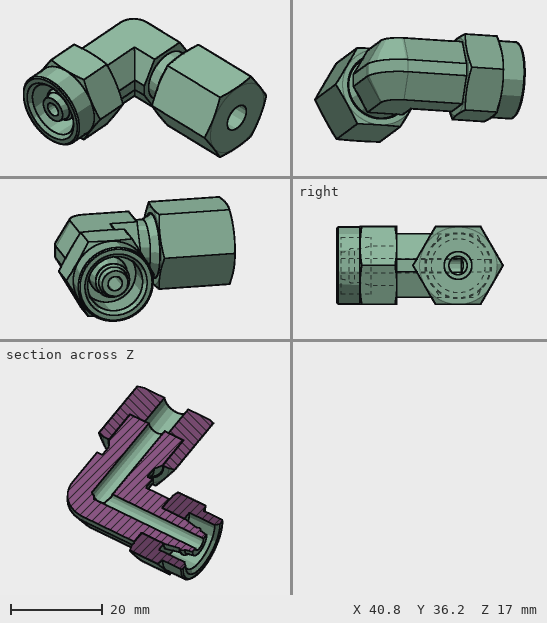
import cadquery as cq
import math


LENGTH_X = 40.8
LENGTH_Y = 36.25

HEX_FLATS = 17.0
HEX_CORNER_RADIUS = HEX_FLATS / 2 / math.cos(math.radians(30))
HEX_FACE_RADIUS = 8.45
HEX_CHAMFER_LENGTH = 0.4

TUBE_NUT_START = 14.4
TUBE_NUT_END = LENGTH_X - HEX_CORNER_RADIUS
SWIVEL_NUT_START = 13.35
SWIVEL_HEX_END = 21.4
SWIVEL_NUT_END = LENGTH_Y - HEX_CORNER_RADIUS

BAR_HALF_HEIGHT = 6.95
BAR_HALF_WIDTH = 7.22
BAR_TOP_HALF_WIDTH = BAR_HALF_HEIGHT * math.tan(math.radians(30))
BAR_SIDE_HALF_HEIGHT = (2 * BAR_TOP_HALF_WIDTH - BAR_HALF_WIDTH) * math.tan(math.radians(60))
TUBE_ARM_END = 10.05

NECK_RADIUS = 5.88
NECK_END = 12.6
THREAD_RADIUS = 6.98
STUD_CONE_END = NECK_END + (THREAD_RADIUS - NECK_RADIUS) / math.tan(math.radians(30))
STUD_END = 23.0

NIPPLE_TIP_RADIUS = 2.9
NIPPLE_BASE_RADIUS = 4.3
NIPPLE_END = 25.6
NIPPLE_HALF_ANGLE = math.radians(12)
NIPPLE_BASE = NIPPLE_END - (NIPPLE_BASE_RADIUS - NIPPLE_TIP_RADIUS) / math.tan(NIPPLE_HALF_ANGLE)
BEAD_OUTER_RADIUS = 3.8
BEAD_SECTION_RADIUS = 0.75
BEAD_CENTER = 23.15

TUBE_ARM_BORE_RADIUS = 2.0
SWIVEL_ARM_BORE_RADIUS = 1.6
TUBE_ARM_BORE_OVERRUN = 0.3
SWIVEL_ARM_BORE_OVERRUN = 0.7
DRILL_HALF_ANGLE = math.radians(59)

TUBE_NUT_MOUTH_RADIUS = 7.2
TUBE_HOLE_RADIUS = 3.0

COLLAR_RADIUS = 8.4
COLLAR_CHAMFER = 0.33
SOCKET_RADIUS = 6.15
SOCKET_MOUTH_RADIUS = 6.98


def turned(points):
    """Solid of revolution about the X axis from (distance along X, radius) points."""
    return cq.Workplane("XY").polyline(points).close().revolve(360, (0, 0, 0), (1, 0, 0))


def onto_swivel_arm(shape):
    """Turn a shape made along +X so that it lies along -Y."""
    return shape.rotate((0, 0, 0), (0, 0, 1), -90)


def hex_bar(start, end):
    """Hexagonal bar along X, flats up and down, with conical chamfers on both ends."""
    bar = (
        cq.Workplane("YZ")
        .workplane(offset=start)
        .polygon(6, 2 * HEX_CORNER_RADIUS)
        .extrude(end - start)
    )
    envelope = turned(
        [
            (start, 0),
            (start, HEX_FACE_RADIUS),
            (start + HEX_CHAMFER_LENGTH, HEX_CORNER_RADIUS),
            (end - HEX_CHAMFER_LENGTH, HEX_CORNER_RADIUS),
            (end, HEX_FACE_RADIUS),
            (end, 0),
        ]
    )
    return bar.intersect(envelope)


def elbow_arm(end):
    """Arm of the forged elbow along +X, starting at the origin."""
    section = [
        (BAR_HALF_WIDTH, BAR_SIDE_HALF_HEIGHT),
        (BAR_TOP_HALF_WIDTH, BAR_HALF_HEIGHT),
        (-BAR_TOP_HALF_WIDTH, BAR_HALF_HEIGHT),
        (-BAR_HALF_WIDTH, BAR_SIDE_HALF_HEIGHT),
        (-BAR_HALF_WIDTH, -BAR_SIDE_HALF_HEIGHT),
        (-BAR_TOP_HALF_WIDTH, -BAR_HALF_HEIGHT),
        (BAR_TOP_HALF_WIDTH, -BAR_HALF_HEIGHT),
        (BAR_HALF_WIDTH, -BAR_SIDE_HALF_HEIGHT),
    ]
    return cq.Workplane("YZ").polyline(section).close().extrude(end)


def elbow_heel():
    """Round outer corner: the bar's half section turned about the Z axis."""
    half_section = [
        (0, BAR_HALF_HEIGHT),
        (BAR_TOP_HALF_WIDTH, BAR_HALF_HEIGHT),
        (BAR_HALF_WIDTH, BAR_SIDE_HALF_HEIGHT),
        (BAR_HALF_WIDTH, -BAR_SIDE_HALF_HEIGHT),
        (BAR_TOP_HALF_WIDTH, -BAR_HALF_HEIGHT),
        (0, -BAR_HALF_HEIGHT),
    ]
    return cq.Workplane("XZ").polyline(half_section).close().revolve(360, (0, 0, 0), (0, 1, 0))


def stud():
    """Neck, lead-in cone and thread cylinder on the tube arm."""
    return turned(
        [
            (0, 0),
            (0, NECK_RADIUS),
            (NECK_END, NECK_RADIUS),
            (STUD_CONE_END, THREAD_RADIUS),
            (STUD_END, THREAD_RADIUS),
            (STUD_END, 0),
        ]
    )


def nipple():
    """Shank, sealing cone and ring bead."""
    cone = turned(
        [
            (0, 0),
            (0, NIPPLE_BASE_RADIUS),
            (NIPPLE_BASE, NIPPLE_BASE_RADIUS),
            (NIPPLE_END, NIPPLE_TIP_RADIUS),
            (NIPPLE_END, 0),
        ]
    )
    bead = (
        cq.Workplane("XY")
        .moveTo(BEAD_CENTER, BEAD_OUTER_RADIUS - BEAD_SECTION_RADIUS)
        .circle(BEAD_SECTION_RADIUS)
        .revolve(360, (0, 0, 0), (1, 0, 0))
    )
    return cone.union(bead)


def bore(end, radius, overrun):
    """Cutter for a flow bore along X, from a drill point near the origin out to the arm's end."""
    point_length = radius / math.tan(DRILL_HALF_ANGLE)
    return turned(
        [
            (-overrun - point_length, 0),
            (-overrun, radius),
            (end, radius),
            (end, 0),
        ]
    )


def make_elbow():
    arms = elbow_arm(TUBE_ARM_END).union(onto_swivel_arm(elbow_arm(SWIVEL_NUT_START)))
    solid = arms.union(elbow_heel()).union(stud()).union(onto_swivel_arm(nipple()))
    tube_arm_bore = bore(STUD_END, TUBE_ARM_BORE_RADIUS, TUBE_ARM_BORE_OVERRUN)
    swivel_arm_bore = onto_swivel_arm(bore(NIPPLE_END, SWIVEL_ARM_BORE_RADIUS, SWIVEL_ARM_BORE_OVERRUN))
    return solid.cut(tube_arm_bore).cut(swivel_arm_bore)


def make_tube_nut():
    """Nut on the +X arm: holds the stud and lets the tube out at its far end."""
    mouth_depth = TUBE_NUT_MOUTH_RADIUS - THREAD_RADIUS
    opening = turned(
        [
            (TUBE_NUT_START, 0),
            (TUBE_NUT_START, TUBE_NUT_MOUTH_RADIUS),
            (TUBE_NUT_START + mouth_depth, THREAD_RADIUS),
            (STUD_END, THREAD_RADIUS),
            (STUD_END, TUBE_HOLE_RADIUS),
            (TUBE_NUT_END, TUBE_HOLE_RADIUS),
            (TUBE_NUT_END, 0),
        ]
    )
    return hex_bar(TUBE_NUT_START, TUBE_NUT_END).cut(opening)


def make_swivel_nut():
    """Nut on the -Y arm: hexagon and round collar, open socket around the nipple."""
    collar = turned(
        [
            (SWIVEL_NUT_START, 0),
            (SWIVEL_NUT_START, COLLAR_RADIUS),
            (SWIVEL_NUT_END - COLLAR_CHAMFER, COLLAR_RADIUS),
            (SWIVEL_NUT_END, COLLAR_RADIUS - COLLAR_CHAMFER),
            (SWIVEL_NUT_END, 0),
        ]
    )
    mouth_depth = SOCKET_MOUTH_RADIUS - SOCKET_RADIUS
    opening = turned(
        [
            (SWIVEL_NUT_START, 0),
            (SWIVEL_NUT_START, NIPPLE_BASE_RADIUS),
            (NIPPLE_BASE, NIPPLE_BASE_RADIUS),
            (NIPPLE_BASE, SOCKET_RADIUS),
            (SWIVEL_NUT_END - mouth_depth, SOCKET_RADIUS),
            (SWIVEL_NUT_END, SOCKET_MOUTH_RADIUS),
            (SWIVEL_NUT_END, 0),
        ]
    )
    nut = hex_bar(SWIVEL_NUT_START, SWIVEL_HEX_END).union(collar).cut(opening)
    return onto_swivel_arm(nut)


elbow = make_elbow()
tube_nut = make_tube_nut()
swivel_nut = make_swivel_nut()

result = cq.Compound.makeCompound([elbow.val(), tube_nut.val(), swivel_nut.val()])